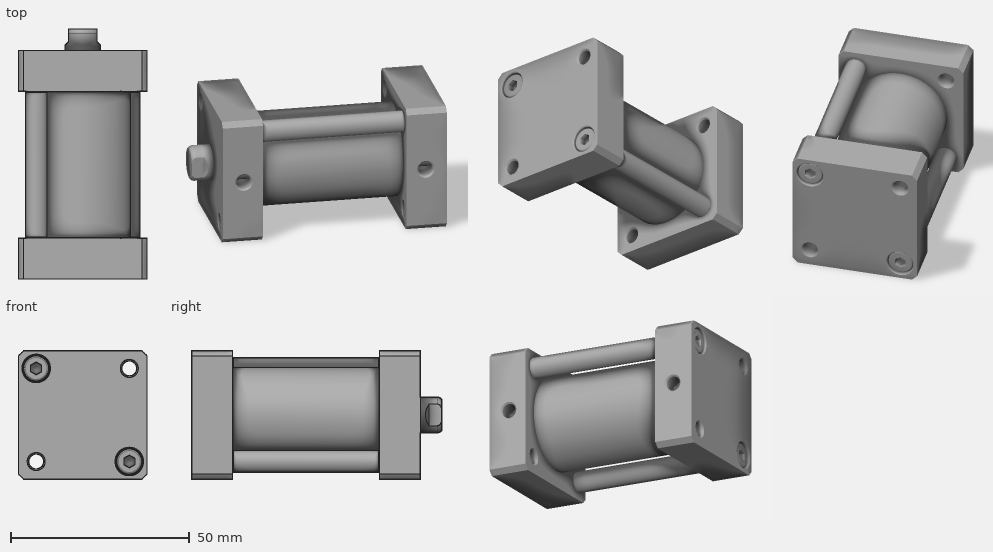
import cadquery as cq
import math


total_length = 70.0
cap_side = 36.0
cap_thickness = 11.5
cap_corner_chamfer = 1.5
barrel_length = 41.0
corner_offset = 13.0

rear_y = -total_length / 2
barrel_start_y = rear_y + cap_thickness
barrel_end_y = barrel_start_y + barrel_length
front_y = barrel_end_y + cap_thickness
rod_end_y = rear_y + total_length

bolt_corners = [(-corner_offset, corner_offset), (corner_offset, -corner_offset)]
mounting_corners = [(corner_offset, corner_offset), (-corner_offset, -corner_offset)]

thread_dia = 4.1
thread_mouth_dia = 5.05
thread_lead_in = (thread_mouth_dia - thread_dia) / 2
port_inset = 5.45
port_depth = 5.6
drill_tip_angle = 118.0
port_bar_dia = 2.0

barrel_dia = 26.6
barrel_end_chamfer = 0.15

rod_dia = 10.0
rod_nose_length = 1.25
rod_nose_drop = 0.7
rod_flats_width = 8.0
rod_flats_length = 3.6

bolt_body_dia = 6.0
bolt_body_chamfer = 0.3
bolt_shank_dia = 4.1
bolt_head_dia = 7.0
bolt_head_length = 4.0
bolt_head_fillet = 0.4
bolt_head_recess = 0.5
bolt_pocket_dia = 7.5
bolt_pocket_mouth_dia = 8.0
socket_flats = 3.1
socket_depth = 2.0

bolt_head_y = rear_y + bolt_head_recess
bolt_seat_y = bolt_head_y + bolt_head_length


def cylinder(dia, y_start, y_end, x=0.0, z=0.0):
    """Solid cylinder along Y."""
    return cq.Workplane("XZ", origin=(x, y_start, z)).circle(dia / 2).extrude(y_start - y_end)


def cone(dia_start, dia_end, y_start, y_end, x=0.0, z=0.0):
    """Solid cone or frustum along Y."""
    base = cq.Vector(x, y_start, z)
    along_y = cq.Vector(0, 1, 0)
    return cq.Workplane(cq.Solid.makeCone(dia_start / 2, dia_end / 2, y_end - y_start, base, along_y))


def drill_tip_length(dia):
    return dia / 2 / math.tan(math.radians(drill_tip_angle / 2))


def mounting_hole(x, z, y_start):
    """Through hole with a countersunk mouth on both faces of the cap."""
    y_end = y_start + cap_thickness
    hole = cylinder(thread_dia, y_start, y_end, x, z)
    rear_mouth = cone(thread_mouth_dia, thread_dia, y_start, y_start + thread_lead_in, x, z)
    front_mouth = cone(thread_dia, thread_mouth_dia, y_end - thread_lead_in, y_end, x, z)
    return hole.union(rear_mouth).union(front_mouth)


def air_port(y):
    """Blind drilled port in the -X side, with a round bar left standing across its bottom."""
    radius = thread_dia / 2
    side_plane = cq.Plane(origin=(-cap_side / 2, y, 0), xDir=(0, 1, 0), normal=(0, 0, 1))
    port = (
        cq.Workplane(side_plane)
        .moveTo(0, 0)
        .lineTo(thread_mouth_dia / 2, 0)
        .lineTo(radius, -thread_lead_in)
        .lineTo(radius, -port_depth)
        .lineTo(0, -port_depth - drill_tip_length(thread_dia))
        .close()
        .revolve(360, (0, 0, 0), (0, 1, 0))
    )
    bar_x = port_depth - cap_side / 2
    bar = cylinder(port_bar_dia, y - radius, y + radius, bar_x)
    return port.cut(bar)


def cap_block(y_start, port_y):
    """Square block with the features that both caps share."""
    block = (
        cq.Workplane("XY")
        .box(cap_side, cap_thickness, cap_side)
        .edges("|Y")
        .chamfer(cap_corner_chamfer)
        .translate((0, y_start + cap_thickness / 2, 0))
    )
    for x, z in mounting_corners:
        block = block.cut(mounting_hole(x, z, y_start))
    return block.cut(air_port(port_y))


def bolt_pocket(x, z):
    """Countersunk counterbore for a bolt head, and the shank hole below it."""
    mouth_depth = (bolt_pocket_mouth_dia - bolt_pocket_dia) / 2
    pocket = cylinder(bolt_pocket_dia, rear_y, bolt_seat_y, x, z)
    mouth = cone(bolt_pocket_mouth_dia, bolt_pocket_dia, rear_y, rear_y + mouth_depth, x, z)
    shank_hole = cylinder(bolt_shank_dia, bolt_seat_y, barrel_start_y, x, z)
    return pocket.union(mouth).union(shank_hole)


def make_rear_cap():
    cap = cap_block(rear_y, barrel_start_y - port_inset)
    for x, z in bolt_corners:
        cap = cap.cut(bolt_pocket(x, z))
    return cap


def make_front_cap():
    rod_hole = cylinder(rod_dia, barrel_end_y, front_y)
    return cap_block(barrel_end_y, barrel_end_y + port_inset).cut(rod_hole)


def make_barrel():
    return cylinder(barrel_dia, barrel_start_y, barrel_end_y).edges().chamfer(barrel_end_chamfer)


def rod_flat(side):
    """Cutter for one wrench flat, on the side +1 or -1 of X, with a 45 degree run-out."""
    inner_x = rod_flats_width / 2
    outer_x = rod_dia / 2
    flat_y = rod_end_y - rod_flats_length
    return (
        cq.Workplane("XY")
        .moveTo(side * inner_x, rod_end_y)
        .lineTo(side * inner_x, flat_y)
        .lineTo(side * outer_x, flat_y - (outer_x - inner_x))
        .lineTo(side * outer_x, rod_end_y)
        .close()
        .extrude(rod_dia / 2, both=True)
    )


def make_piston_rod():
    """Rod through the front cap, with a rounded nose and two wrench flats."""
    radius = rod_dia / 2
    nose_radius = (rod_nose_length**2 + rod_nose_drop**2) / (2 * rod_nose_drop)
    half_angle = math.asin(rod_nose_length / nose_radius) / 2
    nose_start_y = rod_end_y - rod_nose_length
    nose_middle = (
        radius - nose_radius * (1 - math.cos(half_angle)),
        nose_start_y + nose_radius * math.sin(half_angle),
    )
    rod = (
        cq.Workplane("XY")
        .moveTo(0, barrel_end_y)
        .lineTo(radius, barrel_end_y)
        .lineTo(radius, nose_start_y)
        .threePointArc(nose_middle, (radius - rod_nose_drop, rod_end_y))
        .lineTo(0, rod_end_y)
        .close()
        .revolve(360, (0, 0, 0), (0, 1, 0))
    )
    for side in (-1, 1):
        rod = rod.cut(rod_flat(side))
    return rod


def hex_socket(x, z):
    """Hexagon with corners up and down, ending in a conical drill tip that spans its corners."""
    across_corners = socket_flats / math.cos(math.pi / 6)
    tip_start_y = bolt_head_y + socket_depth
    tip_end_y = tip_start_y + drill_tip_length(across_corners)
    hexagon = (
        cq.Workplane("XZ", origin=(x, bolt_head_y, z))
        .transformed(rotate=(0, 0, 30))
        .polygon(6, across_corners)
        .extrude(bolt_head_y - tip_end_y)
    )
    straight = cylinder(across_corners, bolt_head_y, tip_start_y, x, z)
    tip = cone(across_corners, 0, tip_start_y, tip_end_y, x, z)
    return hexagon.intersect(straight.union(tip))


def make_tie_bolt(x, z):
    """Socket head sunk in the rear cap, a shank through it, and a thick body between the caps."""
    head = cylinder(bolt_head_dia, bolt_head_y, bolt_seat_y, x, z).faces("<Y").fillet(bolt_head_fillet)
    shank = cylinder(bolt_shank_dia, bolt_seat_y, barrel_start_y, x, z)
    body = cylinder(bolt_body_dia, barrel_start_y, barrel_end_y, x, z).edges().chamfer(bolt_body_chamfer)
    return head.union(shank).union(body).cut(hex_socket(x, z))


rear_cap = make_rear_cap()
front_cap = make_front_cap()
barrel = make_barrel()
piston_rod = make_piston_rod()
tie_bolts = [make_tie_bolt(x, z) for x, z in bolt_corners]

result = cq.Compound.makeCompound(
    [
        rear_cap.val(),
        front_cap.val(),
        barrel.val(),
        piston_rod.val(),
        *[bolt.val() for bolt in tie_bolts],
    ]
)